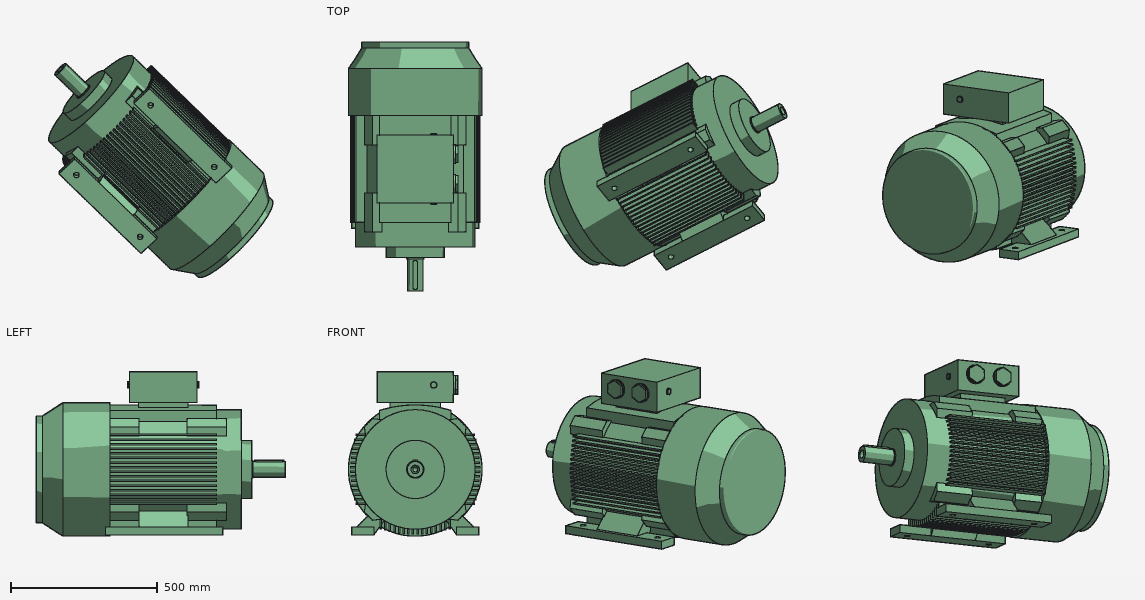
import cadquery as cq
import math


overall_length = 853.0
overall_height = 564.0

shaft_radius = 27.0
shaft_length = 110.0
collar_radius = 30.0
collar_length = 4.0
key_width = 16.0
key_length = 100.0
key_top_z = 31.5
centre_mouth_radius = 14.5
centre_bore_radius = 8.5
centre_bore_depth = 43.0

flange_front_y = collar_length
housing_front_y = 40.0
ribs_front_y = 125.0
cowl_front_y = 490.5
cowl_cone_y = 652.0
cowl_rim_y = 722.0
cowl_back_y = overall_length - shaft_length

flange_radius = 100.0
housing_radius = 205.0
cowl_radius = 458.0 / 2
rim_radius = 183.0
rim_fillet = 3.0

fin_count = 16
fin_bank_width = 236.0
fin_pitch = fin_bank_width / (fin_count - 1)
fin_thickness = 5.0
fin_crown = 221.0
fin_root = 128.0
crown_arc_radius = 409.5
rib_length = cowl_front_y - ribs_front_y

saddle_half_width = 245.0 / 2
saddle_crown = fin_crown

lug_inner = (113.5, 170.0)
lug_corner = (146.0, 174.0)
front_lug_y = (92.0, 226.0)
rear_lug_y = (391.0, cowl_front_y)

foot_base_z = -225.0
foot_outer_x = 436.0 / 2
foot_width = 76.0
foot_height = 28.0
foot_length = 401.0
foot_front_y = 104.0
foot_hole_x = 356.5 / 2
foot_hole_pitch = 310.5
foot_hole_diameter = 19.0
leg_outer_x = 200.5
leg_rise = 68.0
leg_root = (101.0, -167.0)
leg_y = (223.0, rear_lug_y[0])

box_width = 261.0
box_length = 232.0
box_bottom_z = 229.0
box_top_z = overall_height - cowl_radius
box_centre_y = 308.0
neck_width = 173.0
neck_length = 170.0
neck_root_z = 196.0

fitting_z = 289.0
gland_pitch = 101.5
gland_diameter = 65.0
gland_washer_length = 7.0
gland_nut_length = 8.5
plug_x = 63.0
plug_diameter = 22.0
plug_washer_length = 2.5
plug_nut_length = 3.0


def prism_along_y(outline, y_start, y_end):
    """Extrude a closed XZ outline of straight edges from y_start to y_end."""
    plane = cq.Workplane("XZ", origin=(0, y_start, 0))
    return plane.polyline(outline).close().extrude(y_start - y_end)


def block(x_range, y_range, z_range):
    """Box that fills the given ranges."""
    size = [high - low for low, high in (x_range, y_range, z_range)]
    return cq.Workplane("XY").box(*size, centered=False).translate((x_range[0], y_range[0], z_range[0]))


def arc_drop(offset):
    """How far the crowning arc falls below its crown at an offset from the middle."""
    return crown_arc_radius - math.sqrt(crown_arc_radius**2 - offset**2)


def make_round_stages():
    """Flange, housing and fan cowl, revolved about the shaft axis."""
    profile = [
        (flange_front_y, 0),
        (flange_front_y, flange_radius),
        (housing_front_y, flange_radius),
        (housing_front_y, housing_radius),
        (cowl_front_y, housing_radius),
        (cowl_front_y, cowl_radius),
        (cowl_cone_y, cowl_radius),
        (cowl_rim_y, rim_radius),
        (cowl_back_y, rim_radius),
        (cowl_back_y, 0),
    ]
    stages = cq.Workplane("YZ").polyline(profile).close().revolve(360, (0, 0, 0), (1, 0, 0))
    return stages.faces(">Y").edges().fillet(rim_fillet)


def make_fin_bank(turn):
    """One bank of parallel fins pointing to -Z, turned about the shaft axis; tips follow an arc."""
    bank = cq.Workplane("XY")
    for index in range(fin_count):
        offset = index * fin_pitch - fin_bank_width / 2
        tip = fin_crown - arc_drop(offset)
        x_range = (offset - fin_thickness / 2, offset + fin_thickness / 2)
        bank = bank.add(block(x_range, (ribs_front_y, cowl_front_y), (-tip, -fin_root)))
    return bank.combine().rotate((0, 0, 0), (0, 1, 0), turn)


def make_saddle():
    """Pad with a crowned top along the upper side of the housing."""
    edge_z = saddle_crown - arc_drop(saddle_half_width)
    return (
        cq.Workplane("XZ", origin=(0, ribs_front_y, 0))
        .moveTo(-saddle_half_width, 0)
        .lineTo(-saddle_half_width, edge_z)
        .threePointArc((0, saddle_crown), (saddle_half_width, edge_z))
        .lineTo(saddle_half_width, 0)
        .close()
        .extrude(-rib_length)
    )


def make_lug(side, level, y_range):
    """Corner lug in the quadrant given by the signs side (X) and level (Z)."""
    half = [(0, 0), lug_inner, lug_corner]
    mirrored_half = [lug_corner[::-1], lug_inner[::-1]]
    outline = [(side * x, level * z) for x, z in half + mirrored_half]
    return prism_along_y(outline, *y_range)


def make_foot(side):
    """Foot plate with two holes, and the sloping leg that joins it to the housing."""
    foot_inner_x = foot_outer_x - foot_width
    foot_top_z = foot_base_z + foot_height
    foot_back_y = foot_front_y + foot_length
    x_range = sorted((side * foot_inner_x, side * foot_outer_x))
    plate = block(x_range, (foot_front_y, foot_back_y), (foot_base_z, foot_top_z))

    leg_outline = [
        (foot_inner_x, foot_base_z),
        (leg_outer_x, foot_base_z),
        (leg_outer_x, foot_top_z),
        (leg_outer_x - leg_rise, foot_top_z + leg_rise),
        leg_root,
    ]
    leg = prism_along_y([(side * x, z) for x, z in leg_outline], *leg_y)

    middle_y = foot_front_y + foot_length / 2
    holes = (
        cq.Workplane("XY", origin=(side * foot_hole_x, middle_y, foot_base_z))
        .rarray(8.5, foot_hole_pitch, 1, 2)
        .circle(foot_hole_diameter / 2)
        .extrude(foot_height)
    )
    return plate.union(leg).cut(holes)


def make_terminal_box():
    """Terminal box on a narrower neck that stands on the saddle."""
    box = (
        cq.Workplane("XY", origin=(0, box_centre_y, box_bottom_z))
        .rect(box_width, box_length)
        .extrude(box_top_z - box_bottom_z)
    )
    neck = (
        cq.Workplane("XY", origin=(0, box_centre_y, neck_root_z))
        .rect(neck_width, neck_length)
        .extrude(box_bottom_z - neck_root_z)
    )
    return box.union(neck)


def make_fitting(base, outward, diameter, washer_length, nut_length):
    """Round washer under a hexagon nut with two corners in line with Z; it grows outward from base."""
    plane = cq.Plane(origin=base, xDir=(0, 0, 1), normal=outward)
    washer = cq.Workplane(plane).circle(diameter / 2).extrude(washer_length)
    nut = (
        cq.Workplane(plane)
        .workplane(offset=washer_length)
        .polygon(6, diameter)
        .extrude(nut_length)
    )
    return washer.union(nut)


def make_gland(y):
    """Cable gland on the +X wall of the box."""
    base = (box_width / 2, y, fitting_z)
    return make_fitting(base, (1, 0, 0), gland_diameter, gland_washer_length, gland_nut_length)


def make_plug(direction):
    """Blanking plug on the end wall of the box that faces along Y in the given direction."""
    base = (plug_x, box_centre_y + direction * box_length / 2, fitting_z)
    return make_fitting(base, (0, direction, 0), plug_diameter, plug_washer_length, plug_nut_length)


def make_motor():
    """Motor housing with everything cast or fixed onto it."""
    motor = make_round_stages().union(make_saddle())
    for turn in (0, 90, -90):
        motor = motor.union(make_fin_bank(turn))
    for side in (-1, 1):
        motor = motor.union(make_foot(side))
        for level in (-1, 1):
            for y_range in (front_lug_y, rear_lug_y):
                motor = motor.union(make_lug(side, level, y_range))
    motor = motor.union(make_terminal_box())
    for end in (-1, 1):
        motor = motor.union(make_gland(box_centre_y + end * gland_pitch / 2))
        motor = motor.union(make_plug(end))
    return motor


def make_shaft():
    """Shaft end with its collar, round-ended key and centre hole; the collar rests on the flange."""
    profile = [
        (0, collar_length),
        (collar_radius, collar_length),
        (collar_radius, 0),
        (shaft_radius, 0),
        (shaft_radius, -shaft_length),
        (0, -shaft_length),
    ]
    body = cq.Workplane("XY").polyline(profile).close().revolve(360, (0, 0, 0), (0, 1, 0))

    key = (
        cq.Workplane("XY", origin=(0, -shaft_length / 2, 0))
        .transformed(offset=(0, 0, shaft_radius / 2))
        .slot2D(key_length, key_width, 90)
        .extrude(key_top_z - shaft_radius / 2)
    )

    sink_depth = (centre_mouth_radius - centre_bore_radius) * math.sqrt(3)
    point_depth = centre_bore_radius / math.sqrt(3)
    hole_profile = [
        (0, 0),
        (centre_mouth_radius, 0),
        (centre_bore_radius, sink_depth),
        (centre_bore_radius, centre_bore_depth),
        (0, centre_bore_depth + point_depth),
    ]
    centre_hole = (
        cq.Workplane("XY", origin=(0, -shaft_length, 0))
        .polyline(hole_profile)
        .close()
        .revolve(360, (0, 0, 0), (0, 1, 0))
    )
    return body.union(key).cut(centre_hole)


motor = make_motor()
shaft = make_shaft()
result = cq.Compound.makeCompound([motor.val(), shaft.val()])